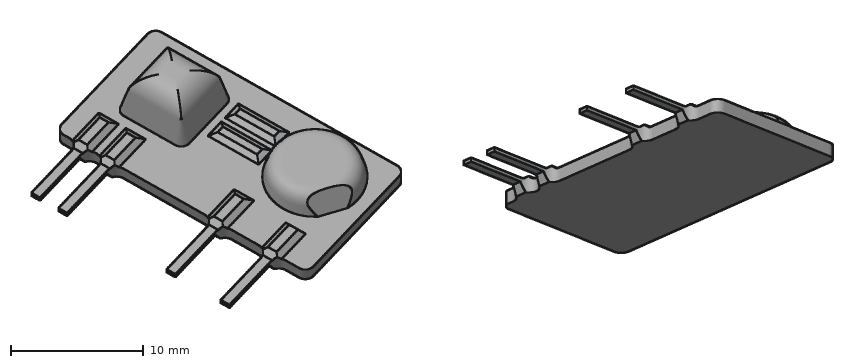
import math

import cadquery as cq

BOARD_LENGTH = 23.62
OVERALL_WIDTH = 18.54
BOARD_WIDTH = 12.51
BOARD_THICKNESS = 1.143
BOARD_CORNER_RADIUS = 0.76

DRAFT_ANGLE = math.radians(15)
DRAFT_SLOPE = math.tan(DRAFT_ANGLE)

PIN_PITCH = 2.54
PIN_POSITIONS = [PIN_PITCH * step for step in (1, 2, 6, 8)]
LEAD_WIDTH = 0.82
LEAD_THICKNESS = 0.35
LEAD_REACH = OVERALL_WIDTH - BOARD_WIDTH
NECK_FILLET_RADIUS = 0.889
NECK_UNDERCUT_RUN = 0.46

BUMP_HEIGHT = 0.41
BUMP_WIDTH = 1.86
BUMP_SIDE_SLOPE_RUN = (BUMP_WIDTH - LEAD_WIDTH) / 2
BUMP_TOP_LENGTH = 2.72
BUMP_END_SLOPE_RUN = 0.6
LAST_BUMP_BACK_SLOPE_RUN = 0.28

DOME_X = 5.73
DOME_Y = BOARD_WIDTH - 5.15
DOME_TOP_Z = 4.97
DOME_TOP_HALF_WIDTH = 0.585
DOME_EDGE_RADIUS = 2.032
DOME_CORE_HALF_WIDTH = 2.41

BUTTON_X = 18.47
BUTTON_Y = BOARD_WIDTH - 4.54
BUTTON_TOP_Z = 2.97
BUTTON_TOP_RADIUS = 2.52
BUTTON_EDGE_RADIUS = 1.27
BUTTON_FLAT_DIRECTION = -33.0
BUTTON_FLAT_TILT = math.radians(29)
BUTTON_FLAT_BASE_DISTANCE = 3.8

CHIP_LENGTH = 4.76
CHIP_WIDTH = 1.72
CHIP_HEIGHT = 0.3
CHIP_SLOPE_RUN = 0.53
CHIP_X = 11.98
CHIP_Y_POSITIONS = [BOARD_WIDTH - 3.08, BOARD_WIDTH - 5.27]


def frustum(x_range, y_range, height, side_run, back_run, front_run):
    """Flat-topped block with four sloping sides, standing on the board."""
    x_min, x_max = x_range
    y_min, y_max = y_range
    top = BOARD_THICKNESS + height
    across = (
        cq.Workplane("XZ", origin=(0, y_max, 0))
        .moveTo(x_min, BOARD_THICKNESS)
        .lineTo(x_max, BOARD_THICKNESS)
        .lineTo(x_max - side_run, top)
        .lineTo(x_min + side_run, top)
        .close()
        .extrude(y_max - y_min)
    )
    along = (
        cq.Workplane("YZ", origin=(x_min, 0, 0))
        .moveTo(y_min, BOARD_THICKNESS)
        .lineTo(y_max, BOARD_THICKNESS)
        .lineTo(y_max - back_run, top)
        .lineTo(y_min + front_run, top)
        .close()
        .extrude(x_max - x_min)
    )
    return across.intersect(along)


def make_board():
    return (
        cq.Workplane("XY")
        .rect(BOARD_LENGTH, BOARD_WIDTH)
        .extrude(BOARD_THICKNESS)
        .edges("|Z")
        .fillet(BOARD_CORNER_RADIUS)
        .translate((BOARD_LENGTH / 2, BOARD_WIDTH / 2, 0))
    )


def neck_prism(pin_x, bottom, top, y_back):
    """Upright prism whose sides flare in arcs from the lead to the board edge."""
    half_lead = LEAD_WIDTH / 2
    half_flare = half_lead + NECK_FILLET_RADIUS
    arc_inset = NECK_FILLET_RADIUS * math.sqrt(0.5)
    arc_mid_x = half_flare - arc_inset
    arc_mid_y = arc_inset - NECK_FILLET_RADIUS
    return (
        cq.Workplane("XY", origin=(pin_x, 0, bottom))
        .moveTo(-half_flare, y_back)
        .lineTo(-half_flare, 0)
        .threePointArc((-arc_mid_x, arc_mid_y), (-half_lead, -NECK_FILLET_RADIUS))
        .lineTo(half_lead, -NECK_FILLET_RADIUS)
        .threePointArc((arc_mid_x, arc_mid_y), (half_flare, 0))
        .lineTo(half_flare, y_back)
        .close()
        .extrude(top - bottom)
    )


def make_pin(pin_x, back_run):
    """Lead with its flared neck and the coating bump over its joint."""
    lead_bottom = BOARD_THICKNESS - LEAD_THICKNESS
    lead = (
        cq.Workplane("XY", origin=(pin_x, -LEAD_REACH / 2, lead_bottom))
        .rect(LEAD_WIDTH, LEAD_REACH)
        .extrude(LEAD_THICKNESS)
    )

    y_back = BUMP_TOP_LENGTH + back_run
    undercut = (
        cq.Workplane("YZ", origin=(pin_x, 0, 0))
        .moveTo(NECK_UNDERCUT_RUN - NECK_FILLET_RADIUS, 0)
        .lineTo(-NECK_FILLET_RADIUS, lead_bottom)
        .lineTo(-NECK_FILLET_RADIUS, 0)
        .close()
        .extrude(BUMP_WIDTH, both=True)
    )
    neck = neck_prism(pin_x, 0, BOARD_THICKNESS, BOARD_CORNER_RADIUS).cut(undercut)

    bump = frustum(
        (pin_x - BUMP_WIDTH / 2, pin_x + BUMP_WIDTH / 2),
        (-BUMP_END_SLOPE_RUN, y_back),
        BUMP_HEIGHT,
        BUMP_SIDE_SLOPE_RUN,
        back_run,
        BUMP_END_SLOPE_RUN,
    )
    bump = bump.intersect(neck_prism(pin_x, BOARD_THICKNESS, BOARD_THICKNESS + BUMP_HEIGHT, y_back))
    return neck.union(bump).union(lead)


def draft_break(top_half_width, edge_radius, top_z):
    """Half width and height where the rounded top edge meets the drafted side."""
    break_half_width = top_half_width + edge_radius * math.cos(DRAFT_ANGLE)
    break_z = top_z - edge_radius * (1 - math.sin(DRAFT_ANGLE))
    return break_half_width, break_z


def drafted_base(top_half_width, edge_radius, top_z):
    """Half width of a drafted body where it stands on the board."""
    break_half_width, break_z = draft_break(top_half_width, edge_radius, top_z)
    return break_half_width + (break_z - BOARD_THICKNESS) * DRAFT_SLOPE


def rounded_half_profile(top_half_width, edge_radius, top_z):
    """Right half of a drafted profile with a rounded top edge, from the centre line outward."""
    break_half_width, break_z = draft_break(top_half_width, edge_radius, top_z)
    base_half_width = drafted_base(top_half_width, edge_radius, top_z)
    mid_angle = (DRAFT_ANGLE + math.pi / 2) / 2
    arc_mid = (
        top_half_width + edge_radius * math.cos(mid_angle),
        top_z - edge_radius * (1 - math.sin(mid_angle)),
    )
    return (
        cq.Workplane("XZ")
        .moveTo(0, BOARD_THICKNESS)
        .lineTo(base_half_width, BOARD_THICKNESS)
        .lineTo(break_half_width, break_z)
        .threePointArc(arc_mid, (top_half_width, top_z))
        .lineTo(0, top_z)
        .close()
    )


def make_dome():
    """Square dome: two crossed profiles, with conical lower corners."""
    base_half_width = drafted_base(DOME_TOP_HALF_WIDTH, DOME_EDGE_RADIUS, DOME_TOP_Z)
    half = rounded_half_profile(DOME_TOP_HALF_WIDTH, DOME_EDGE_RADIUS, DOME_TOP_Z)
    half = half.extrude(base_half_width, both=True)
    across = half.union(half.rotate((0, 0, 0), (0, 0, 1), 180))
    crossed = across.intersect(across.rotate((0, 0, 0), (0, 0, 1), 90))

    height = DOME_TOP_Z - BOARD_THICKNESS
    core_width = 2 * DOME_CORE_HALF_WIDTH
    full_width = 2 * base_half_width
    on_board = cq.Workplane("XY", origin=(0, 0, BOARD_THICKNESS))
    corner_limit = on_board.rect(core_width, full_width).extrude(height)
    corner_limit = corner_limit.union(on_board.rect(full_width, core_width).extrude(height))

    cone_radius = base_half_width - DOME_CORE_HALF_WIDTH
    for x_side in (-1, 1):
        for y_side in (-1, 1):
            cone = cq.Solid.makeCone(
                cone_radius,
                0,
                cone_radius / DRAFT_SLOPE,
                cq.Vector(x_side * DOME_CORE_HALF_WIDTH, y_side * DOME_CORE_HALF_WIDTH, BOARD_THICKNESS),
            )
            corner_limit = corner_limit.union(cq.Workplane(cone))
    return crossed.intersect(corner_limit).translate((DOME_X, DOME_Y, 0))


def make_button():
    """Round drafted body with a rounded top edge and one tilted flat on its side."""
    body = rounded_half_profile(BUTTON_TOP_RADIUS, BUTTON_EDGE_RADIUS, BUTTON_TOP_Z)
    body = body.revolve(360, (0, 0, 0), (0, 1, 0))

    height = BUTTON_TOP_Z - BOARD_THICKNESS
    flat_top_distance = BUTTON_FLAT_BASE_DISTANCE - height * math.tan(BUTTON_FLAT_TILT)
    clear_distance = 2 * BUTTON_FLAT_BASE_DISTANCE
    flat = (
        cq.Workplane("XZ")
        .moveTo(BUTTON_FLAT_BASE_DISTANCE, BOARD_THICKNESS)
        .lineTo(clear_distance, BOARD_THICKNESS)
        .lineTo(clear_distance, BUTTON_TOP_Z)
        .lineTo(flat_top_distance, BUTTON_TOP_Z)
        .close()
        .extrude(BUTTON_FLAT_BASE_DISTANCE, both=True)
        .rotate((0, 0, 0), (0, 0, 1), BUTTON_FLAT_DIRECTION)
    )
    return body.cut(flat).translate((BUTTON_X, BUTTON_Y, 0))


def make_chip(chip_y):
    return frustum(
        (CHIP_X - CHIP_LENGTH / 2, CHIP_X + CHIP_LENGTH / 2),
        (chip_y - CHIP_WIDTH / 2, chip_y + CHIP_WIDTH / 2),
        CHIP_HEIGHT,
        CHIP_SLOPE_RUN,
        CHIP_SLOPE_RUN,
        CHIP_SLOPE_RUN,
    )


result = make_board()
for pin_x in PIN_POSITIONS[:-1]:
    result = result.union(make_pin(pin_x, BUMP_END_SLOPE_RUN))
result = result.union(make_pin(PIN_POSITIONS[-1], LAST_BUMP_BACK_SLOPE_RUN))
for chip_y in CHIP_Y_POSITIONS:
    result = result.union(make_chip(chip_y))
result = result.union(make_dome()).union(make_button())